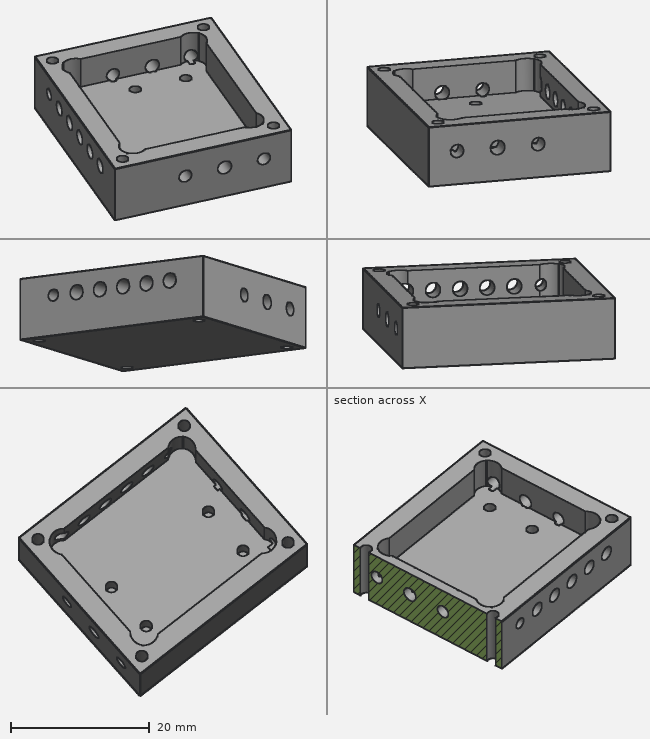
import cadquery as cq

length = 31.4
width = 27.4
height = 9.0
edge_chamfer = 0.1

wall = 3.15
floor_height = 4.18
pocket_length = length - 2 * wall
pocket_width = width - 2 * wall
pocket_depth = height - floor_height
relief_diameter = 4.0
relief_spacing_x = 22.17
relief_spacing_y = 18.18

screw_diameter = 1.7
screw_inset = 2.0

floor_hole_diameter = 1.7
floor_hole_depth = 2.5
floor_hole_x = 9.07
floor_hole_ys = (7.13, -0.7)

front_hole_count = 6
front_hole_pitch = 4.0
front_hole_z = 5.97
front_hole_diameter = 2.17
front_end_hole_diameter = 1.7

side_hole_z = 5.05
side_hole_middle_y = 3.33
side_hole_pitch = 6.1
side_outer_diameter = 1.95
side_middle_diameter = 2.15
side_outer_overrun = 0.38
side_middle_overrun = 0.15


def make_body():
    block = cq.Workplane("XY").box(length, width, height, centered=(True, True, False))
    return block.edges().chamfer(edge_chamfer)


def make_pocket():
    floor = cq.Workplane("XY", origin=(0, 0, floor_height))
    pocket = floor.rect(pocket_length, pocket_width).extrude(pocket_depth)
    reliefs = (
        floor.rect(relief_spacing_x, relief_spacing_y, forConstruction=True)
        .vertices()
        .circle(relief_diameter / 2)
        .extrude(pocket_depth)
    )
    return pocket.union(reliefs)


def make_screw_holes():
    return (
        cq.Workplane("XY")
        .rect(length - 2 * screw_inset, width - 2 * screw_inset, forConstruction=True)
        .vertices()
        .circle(screw_diameter / 2)
        .extrude(height)
    )


def make_floor_holes():
    centers = [(side * floor_hole_x, y) for side in (-1, 1) for y in floor_hole_ys]
    return (
        cq.Workplane("XY", origin=(0, 0, floor_height))
        .pushPoints(centers)
        .circle(floor_hole_diameter / 2)
        .extrude(-floor_hole_depth)
    )


def cylinder(diameter, depth, start, direction):
    return cq.Solid.makeCylinder(diameter / 2, depth, cq.Vector(*start), cq.Vector(*direction))


def cut_front_holes(body):
    first_x = -front_hole_pitch * (front_hole_count - 1) / 2
    for index in range(front_hole_count):
        diameter = front_end_hole_diameter if index == 0 else front_hole_diameter
        start = (first_x + index * front_hole_pitch, -width / 2, front_hole_z)
        body = body.cut(cylinder(diameter, wall, start, (0, 1, 0)))
    return body


def cut_side_holes(body):
    for side in (-1, 1):
        for step in (-1, 0, 1):
            diameter = side_middle_diameter if step == 0 else side_outer_diameter
            overrun = side_middle_overrun if step == 0 else side_outer_overrun
            start = (side * length / 2, side_hole_middle_y + step * side_hole_pitch, side_hole_z)
            body = body.cut(cylinder(diameter, wall + overrun, start, (-side, 0, 0)))
    return body


result = make_body().cut(make_pocket()).cut(make_screw_holes()).cut(make_floor_holes())
result = cut_front_holes(result)
result = cut_side_holes(result)